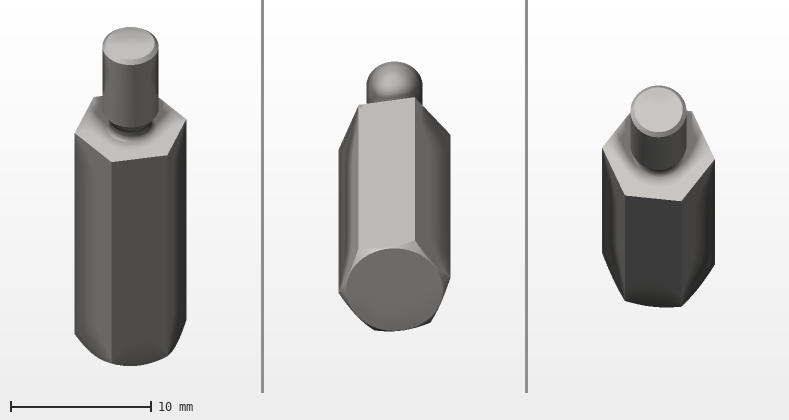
import cadquery as cq
import math

ACROSS_FLATS = 7.0
ACROSS_CORNERS = ACROSS_FLATS / math.cos(math.radians(30))
BODY_LENGTH = 20.0
FOOT_DIAMETER = 6.9

STUD_DIAMETER = 4.0
STUD_LENGTH = 8.0
TIP_CHAMFER = 0.28

NECK_DIAMETER = 2.9
UNDERCUT_LENGTH = 1.7
UNDERCUT_FILLET = 0.4
UNDERCUT_ANGLE = math.radians(30)


def make_body():
    """Hexagonal prism with its lower corners turned off by a 45 degree cone."""
    prism = cq.Workplane("XY").polygon(6, ACROSS_CORNERS).extrude(BODY_LENGTH)
    foot_radius = FOOT_DIAMETER / 2
    turning_cone = (
        cq.Workplane("XZ")
        .lineTo(foot_radius, 0)
        .lineTo(foot_radius + BODY_LENGTH, BODY_LENGTH)
        .lineTo(0, BODY_LENGTH)
        .close()
        .revolve(360, (0, 0), (0, 1))
    )
    return prism.intersect(turning_cone)


def make_stud():
    """Turned stud: root fillet, neck, filleted cone, shank and chamfered tip."""
    neck_radius = NECK_DIAMETER / 2
    stud_radius = STUD_DIAMETER / 2
    base = BODY_LENGTH
    top = base + STUD_LENGTH
    shank_start = base + UNDERCUT_LENGTH

    centre_radius = neck_radius + UNDERCUT_FILLET
    root_centre = base + UNDERCUT_FILLET

    def fillet_point(centre_height, angle):
        """Point on a fillet, turned upwards by angle from its tangent on the neck."""
        return (
            centre_radius - UNDERCUT_FILLET * math.cos(angle),
            centre_height + UNDERCUT_FILLET * math.sin(angle),
        )

    cone_start_radius = fillet_point(0, UNDERCUT_ANGLE)[0]
    cone_height = (stud_radius - cone_start_radius) / math.tan(UNDERCUT_ANGLE)
    neck_end = shank_start - cone_height - UNDERCUT_FILLET * math.sin(UNDERCUT_ANGLE)

    profile = (
        cq.Workplane("XZ")
        .moveTo(0, base)
        .lineTo(centre_radius, base)
        .threePointArc(fillet_point(root_centre, -math.pi / 4), (neck_radius, root_centre))
        .lineTo(neck_radius, neck_end)
        .threePointArc(
            fillet_point(neck_end, UNDERCUT_ANGLE / 2),
            fillet_point(neck_end, UNDERCUT_ANGLE),
        )
        .lineTo(stud_radius, shank_start)
        .lineTo(stud_radius, top - TIP_CHAMFER)
        .lineTo(stud_radius - TIP_CHAMFER, top)
        .lineTo(0, top)
        .close()
    )
    return profile.revolve(360, (0, base), (0, top))


result = make_body().union(make_stud())